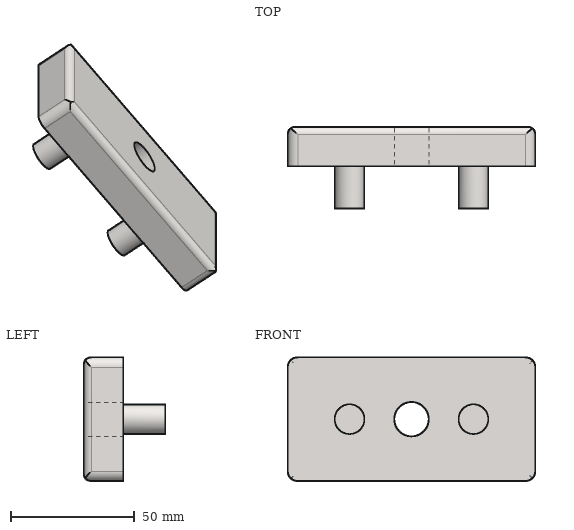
import cadquery as cq

plate_length = 100.0
plate_height = plate_length / 2
plate_thickness = 16.0
corner_radius = 4.0
back_edge_radius = 3.0

hole_diameter = 13.8

pin_diameter = 12.0
pin_length = 17.0
pin_spacing = plate_length / 2


def make_block():
    """Plain rectangular plate."""
    return cq.Workplane("XZ").rect(plate_length, plate_height).extrude(-plate_thickness)


def make_plate():
    """Plate whose back fillets meet in mitres, trimmed by the rounded corners."""
    long_edges_rounded = make_block().edges(">Y and |X").fillet(back_edge_radius)
    short_edges_rounded = make_block().edges(">Y and |Z").fillet(back_edge_radius)
    corners_rounded = make_block().edges("|Y").fillet(corner_radius)
    return long_edges_rounded.intersect(short_edges_rounded).intersect(corners_rounded)


def make_hole_cutter():
    """Cylinder that passes through the whole plate."""
    return cq.Workplane("XZ").circle(hole_diameter / 2).extrude(-plate_thickness)


def make_pins():
    """Pins pointing toward -Y, placed evenly about the hole."""
    pin_centers = [(-pin_spacing / 2, 0), (pin_spacing / 2, 0)]
    return cq.Workplane("XZ").pushPoints(pin_centers).circle(pin_diameter / 2).extrude(pin_length)


result = make_plate().cut(make_hole_cutter()).union(make_pins())